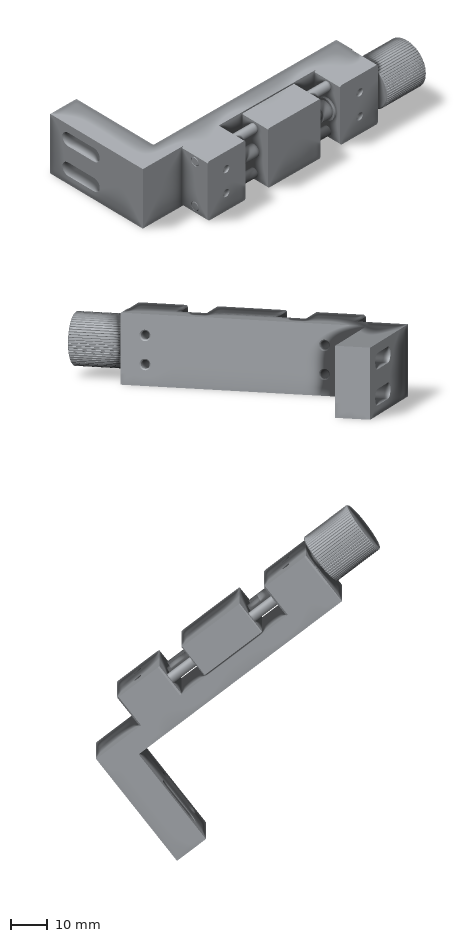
import cadquery as cq
import math


HEIGHT = 20.0
FOOT_LENGTH = 36.0
FOOT_THICKNESS = 10.0
WALL_THICKNESS = 6.0
BRACKET_LENGTH = 80.0
BRACKET_EDGE = 0.2

SLOT_CENTER_X = FOOT_LENGTH / 3
SLOT_LENGTH = 14.5
SLOT_WIDTH = 4.5
SLOT_OFFSET_Z = HEIGHT / 4

BLOCK_WIDTH = 10.0
BLOCK_LENGTH = 14.5
BLOCK_CHAMFER = 0.5
LOWER_BLOCK_START = 15.0
UPPER_BLOCK_START = BRACKET_LENGTH - BLOCK_LENGTH
SLIDER_START = 37.5
SLIDER_LENGTH = 20.0
SLIDER_GAP = 0.5
SLIDER_CHAMFER = 0.3

MOUNT_HOLE_DIAMETER = 2.5
MOUNT_SINK_DIAMETER = 3.2
SINK_HALF_ANGLE = 45
MOUNT_OFFSET_Z = 4.0
MOUNT_HOLES_Y = (22.0, 73.0)

ROD_DIAMETER = 3.0
ROD_OFFSET_Z = 7.5
ROD_CHAMFER = 0.3

AXIS_X = FOOT_LENGTH + BLOCK_WIDTH / 2
SCREW_DIAMETER = 4.0
JOURNAL_DIAMETER = 3.2
JOURNAL_SHOULDER_Y = 30.5
JOURNAL_LENGTH = 7.7
COLLAR_DIAMETER = 6.0
COLLAR_NECK_DIAMETER = 5.6
COLLAR_LENGTH = 0.7
FLANGE_DIAMETER = 7.0
FLANGE_THICKNESS = 0.8
HUB_DIAMETER = 5.6
HUB_LENGTH = 3.3
KNOB_DIAMETER = 15.0
KNOB_LENGTH = 15.0
KNOB_END = 96.0
KNOB_START = KNOB_END - KNOB_LENGTH
KNOB_CHAMFER = 0.3
GROOVE_COUNT = 60
GROOVE_WIDTH = 0.3
GROOVE_DEPTH = 0.2


def cylinder_along_y(diameter, start, end, z=0.0):
    """Cylinder parallel to Y in the plane of the screw axis."""
    plane = cq.Plane(origin=(AXIS_X, start, z), xDir=(1, 0, 0), normal=(0, 1, 0))
    return cq.Workplane(plane).circle(diameter / 2).extrude(end - start)


def box_from(x, y, length_x, length_y):
    """Full-height box with its lowest X and Y corner at (x, y)."""
    plan = cq.Workplane("XY", origin=(x, y, -HEIGHT / 2))
    return plan.rect(length_x, length_y, centered=False).extrude(HEIGHT)


def mount_hole_cutter(y):
    """Pair of holes along X through the wall and the block behind it, countersunk at the wall."""
    sink_depth = (MOUNT_SINK_DIAMETER - MOUNT_HOLE_DIAMETER) / 2 / math.tan(math.radians(SINK_HALF_ANGLE))
    wall_x = FOOT_LENGTH - WALL_THICKNESS
    cutter = cq.Workplane("YZ")
    for z in (-MOUNT_OFFSET_Z, MOUNT_OFFSET_Z):
        start = cq.Workplane("YZ", origin=(wall_x, y, z))
        drill = start.circle(MOUNT_HOLE_DIAMETER / 2).extrude(WALL_THICKNESS + BLOCK_WIDTH)
        sink = start.circle(MOUNT_SINK_DIAMETER / 2).extrude(sink_depth, taper=SINK_HALF_ANGLE)
        cutter = cutter.add(drill.union(sink))
    return cutter.combine()


def make_bracket():
    """L-shaped bracket with two slots in the foot and mounting holes in the wall."""
    wall_x = FOOT_LENGTH - WALL_THICKNESS
    bracket = box_from(0, 0, FOOT_LENGTH, FOOT_THICKNESS)
    bracket = bracket.union(box_from(wall_x, 0, WALL_THICKNESS, BRACKET_LENGTH))
    bracket = bracket.faces(">Y").edges("|X").chamfer(BRACKET_EDGE)
    slots = (
        cq.Workplane("XZ", origin=(SLOT_CENTER_X, 0, 0))
        .pushPoints([(0, -SLOT_OFFSET_Z), (0, SLOT_OFFSET_Z)])
        .slot2D(SLOT_LENGTH, SLOT_WIDTH)
        .extrude(-FOOT_THICKNESS)
    )
    bracket = bracket.cut(slots)
    for y in MOUNT_HOLES_Y:
        bracket = bracket.cut(mount_hole_cutter(y))
    return bracket


def make_rod(z):
    """Guide rod spanning both end blocks, chamfered at its ends."""
    rod = cylinder_along_y(ROD_DIAMETER, LOWER_BLOCK_START, BRACKET_LENGTH, z)
    return rod.faces("<Y or >Y").chamfer(ROD_CHAMFER)


def bored_block(x, y, length, chamfer):
    """Block with chamfered end edges and bores for both guide rods."""
    block = box_from(x, y, BLOCK_WIDTH, length)
    block = block.faces("<Y or >Y").edges("|X").chamfer(chamfer)
    for z in (-ROD_OFFSET_Z, ROD_OFFSET_Z):
        block = block.cut(cylinder_along_y(ROD_DIAMETER, y, y + length, z))
    return block


def make_end_block(y, mount_y):
    """End block fixed to the wall, with its pair of mounting holes."""
    return bored_block(FOOT_LENGTH, y, BLOCK_LENGTH, BLOCK_CHAMFER).cut(mount_hole_cutter(mount_y))


def make_slider():
    """Slider riding on the rods, clear of the wall."""
    return bored_block(FOOT_LENGTH + SLIDER_GAP, SLIDER_START, SLIDER_LENGTH, SLIDER_CHAMFER)


def make_knob():
    """Knob with chamfered ends and straight V grooves around its rim."""
    radius = KNOB_DIAMETER / 2
    knob = cylinder_along_y(KNOB_DIAMETER, KNOB_START, KNOB_END).faces("<Y or >Y").chamfer(KNOB_CHAMFER)

    outline = []
    pitch = 2 * math.pi / GROOVE_COUNT
    half_groove = GROOVE_WIDTH / 2 / radius
    root = radius - GROOVE_DEPTH
    for i in range(GROOVE_COUNT):
        middle = i * pitch
        for r, angle in ((radius, middle - half_groove), (root, middle), (radius, middle + half_groove)):
            outline.append((r * math.cos(angle), r * math.sin(angle)))
    plane = cq.Plane(origin=(AXIS_X, KNOB_START, 0), xDir=(1, 0, 0), normal=(0, 1, 0))
    grooved = cq.Workplane(plane).polyline(outline).close().extrude(KNOB_LENGTH)
    return knob.intersect(grooved)


def make_screw():
    """Lead screw in one piece with its knob, collar, flange, hub and lower journal."""
    flange_start = UPPER_BLOCK_START - FLANGE_THICKNESS
    hub_start = flange_start - HUB_LENGTH
    journal_end = JOURNAL_SHOULDER_Y - JOURNAL_LENGTH
    screw = make_knob()
    for diameter, start, end in (
        (COLLAR_DIAMETER, KNOB_START - COLLAR_LENGTH, KNOB_START),
        (COLLAR_NECK_DIAMETER, BRACKET_LENGTH, KNOB_START - COLLAR_LENGTH),
        (FLANGE_DIAMETER, flange_start, UPPER_BLOCK_START),
        (HUB_DIAMETER, hub_start, flange_start),
        (SCREW_DIAMETER, JOURNAL_SHOULDER_Y, KNOB_START),
        (JOURNAL_DIAMETER, journal_end, JOURNAL_SHOULDER_Y),
    ):
        screw = screw.union(cylinder_along_y(diameter, start, end))
    return screw


bracket = make_bracket()
screw = make_screw()
lower_block = make_end_block(LOWER_BLOCK_START, MOUNT_HOLES_Y[0]).cut(screw)
upper_block = make_end_block(UPPER_BLOCK_START, MOUNT_HOLES_Y[1]).cut(screw)
slider = make_slider().cut(screw)
rods = [make_rod(z) for z in (-ROD_OFFSET_Z, ROD_OFFSET_Z)]

result = cq.Compound.makeCompound(
    [
        bracket.val(),
        lower_block.val(),
        upper_block.val(),
        slider.val(),
        *[rod.val() for rod in rods],
        screw.val(),
    ]
)